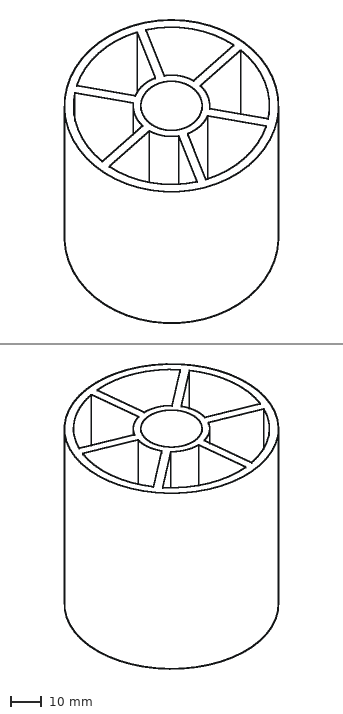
import cadquery as cq

height = 72.0
rim_outer_diameter = 70.0
rim_inner_diameter = 64.0
hub_outer_diameter = 25.0
bore_diameter = 20.0
spoke_thickness = 3.0
spoke_count = 6


def tube(outer_diameter, inner_diameter):
    """Full-height tube standing on the XY plane."""
    return cq.Workplane("XY").circle(outer_diameter / 2).circle(inner_diameter / 2).extrude(height)


def spoke(angle):
    """Full-height radial wall, ending midway through the hub and rim walls."""
    start_radius = (hub_outer_diameter + bore_diameter) / 4
    end_radius = (rim_outer_diameter + rim_inner_diameter) / 4
    wall = cq.Workplane("XY").box(
        end_radius - start_radius, spoke_thickness, height, centered=(False, True, False)
    )
    return wall.translate((start_radius, 0, 0)).rotate((0, 0, 0), (0, 0, 1), angle)


result = tube(rim_outer_diameter, rim_inner_diameter)
hub = tube(hub_outer_diameter, bore_diameter)
for index in range(spoke_count):
    result = result.union(spoke(index * 360 / spoke_count))
result = result.union(hub)